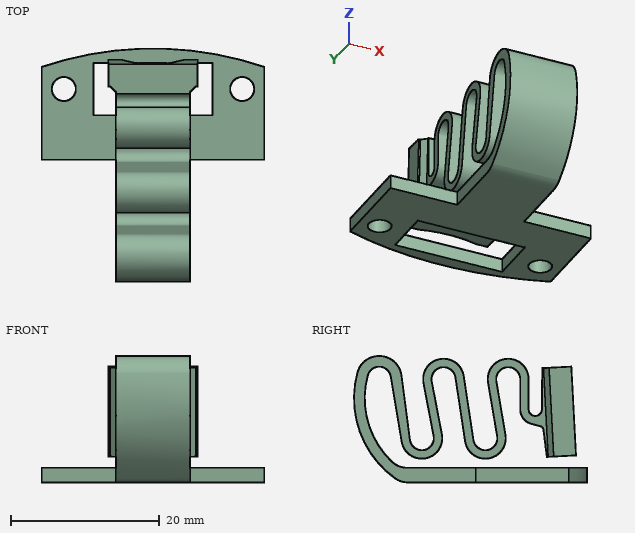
import cadquery as cq
import math

plate_width = 30.0
plate_thickness = 2.0
plate_back = 15.0
plate_corner = 12.52
hole_diameter = 3.2
hole_spacing = 24.03
hole_y = 9.53
window_width = 16.0
window_front = 6.0
window_back = 13.02

strip_width = 10.0
wave_inner = 1.6
wave_outer = 2.77
crest_z = 13.93
trough_z = 5.98
wave_ys = (4.35, 1.25, -4.37, -7.3)

overall_height = 17.08
front_y = -16.45
last_inner = 1.57
last_outer = 3.05
sweep_inner = 11.8
sweep_outer = sweep_inner + last_outer - last_inner
sweep_drop = 2.67
base_bend_radius = 3.0

neck_inner = 0.88
neck_outer = neck_inner + wave_outer - wave_inner
neck_z = 9.88
neck_slope = math.radians(15)
neck_fillet = 0.5

pad_tilt = math.radians(3)
pad_width = 12.0
pad_height = 12.0
pad_depth = 3.02
pad_back_y = 13.5
pad_bottom_z = 3.65
taper_depth = 0.75
taper_step = 0.25
backing_thickness = 0.2
backing_root_y = 9.03
seat_radius = 15.0


def polar(center, radius, angle):
    return (center[0] + radius * math.cos(angle), center[1] + radius * math.sin(angle))


def direction(start, end):
    return math.atan2(end[1] - start[1], end[0] - start[0])


def pad_point(forward, up):
    """Y, Z of a point given along the tilted depth and height of the pad."""
    sine, cosine = math.sin(pad_tilt), math.cos(pad_tilt)
    return (pad_back_y - forward * cosine - up * sine,
            pad_bottom_z - forward * sine + up * cosine)


def line(start, end):
    return cq.Edge.makeLine(cq.Vector(0, *start), cq.Vector(0, *end))


def arc(center, radius, start, end, turn):
    """Arc in the YZ plane; turn is 1 for counterclockwise and -1 for clockwise."""
    sweep = (turn * (end - start)) % (2 * math.pi)
    angles = (start, start + turn * sweep / 2, end)
    points = [cq.Vector(0, *polar(center, radius, angle)) for angle in angles]
    return cq.Edge.makeThreePointArc(*points)


wave_centers = [(y, trough_z if i % 2 else crest_z) for i, y in enumerate(wave_ys)]
sweep_center_y = front_y + sweep_outer
last_z = overall_height - last_outer
last_offset = math.sqrt((sweep_outer - last_outer) ** 2 - sweep_drop ** 2)
last_center = (sweep_center_y - last_offset, last_z)
sweep_center = (sweep_center_y, last_z - sweep_drop)
bend_centers = wave_centers + [last_center]


def strip_face(crest_radius, trough_radius, last_radius, sweep_radius, base_z):
    """Edges of one strip face from the first crest down to the base at height base_z."""
    radii = [trough_radius if i % 2 else crest_radius for i in range(len(wave_ys))] + [last_radius]
    edges = []
    entry = 0
    for i in range(len(wave_ys)):
        turn = -1 if i % 2 else 1
        center, following = bend_centers[i], bend_centers[i + 1]
        reach = -turn * (radii[i] + radii[i + 1])
        normal = direction(center, following) + math.acos(reach / math.dist(center, following))
        leave = normal + math.pi if turn == 1 else normal
        edges.append(arc(center, radii[i], entry, leave, turn))
        entry = leave + math.pi
        leg_start = polar(center, radii[i], leave)
        edges.append(line(leg_start, polar(following, radii[i + 1], entry)))
    sweep_start = direction(sweep_center, last_center)
    edges.append(arc(last_center, last_radius, entry, sweep_start, 1))
    bend_z = base_z + base_bend_radius
    bend_offset = math.sqrt((sweep_radius - base_bend_radius) ** 2 - (sweep_center[1] - bend_z) ** 2)
    bend_center = (sweep_center_y - bend_offset, bend_z)
    sweep_end = direction(sweep_center, bend_center)
    edges.append(arc(sweep_center, sweep_radius, sweep_start, sweep_end, 1))
    edges.append(arc(bend_center, base_bend_radius, sweep_end, -math.pi / 2, 1))
    edges.append(line((bend_center[0], base_z), (0, base_z)))
    return edges


def make_plate():
    half = plate_width / 2
    plate = (
        cq.Workplane("XY")
        .moveTo(-half, 0)
        .lineTo(half, 0)
        .lineTo(half, plate_corner)
        .threePointArc((0, plate_back), (-half, plate_corner))
        .close()
        .extrude(plate_thickness)
    )
    window_length = window_back - window_front
    window = (
        cq.Workplane("XY")
        .center(0, window_front + window_length / 2)
        .rect(window_width, window_length)
        .extrude(plate_thickness)
    )
    holes = (
        cq.Workplane("XY")
        .pushPoints([(-hole_spacing / 2, hole_y), (hole_spacing / 2, hole_y)])
        .circle(hole_diameter / 2)
        .extrude(plate_thickness)
    )
    return plate.cut(window).cut(holes)


def neck_edges():
    """Edges of the neck and pad backing, from the first crest's outer face to its inner face."""
    outer_leg_y = wave_ys[0] + wave_outer
    inner_leg_y = wave_ys[0] + wave_inner
    center = (outer_leg_y + neck_inner, neck_z)
    back = pad_depth + taper_depth
    front = back + backing_thickness
    slope_angle = -math.pi / 2 - neck_slope
    throat_end = (center[0] + neck_inner, neck_z)
    slope_start = polar(center, neck_outer, slope_angle)
    corner_z = slope_start[1] - (backing_root_y - slope_start[0]) * math.tan(neck_slope)
    corners = [
        throat_end,
        pad_point(front, pad_height),
        pad_point(back, pad_height),
        pad_point(back, 0),
        pad_point(front, 0),
        (backing_root_y, corner_z),
        slope_start,
    ]
    edges = [line((outer_leg_y, crest_z), (outer_leg_y, neck_z))]
    edges.append(arc(center, neck_inner, math.pi, 0, 1))
    edges += [line(start, end) for start, end in zip(corners, corners[1:])]
    edges.append(arc(center, neck_outer, slope_angle, math.pi, -1))
    edges.append(line((inner_leg_y, neck_z), (inner_leg_y, crest_z)))
    return edges, (backing_root_y, corner_z)


def make_strip():
    outer = strip_face(wave_outer, wave_inner, last_outer, sweep_outer, 0)
    inner = strip_face(wave_inner, wave_outer, last_inner, sweep_inner, plate_thickness)
    neck, root = neck_edges()
    base_end = line((0, 0), (0, plate_thickness))
    outline = cq.Wire.assembleEdges(outer + [base_end] + inner[::-1] + neck[::-1])
    strip = cq.Workplane("YZ").add(outline).toPending().extrude(strip_width / 2, both=True)
    return strip.edges(cq.NearestToPointSelector((0, *root))).fillet(neck_fillet)


def make_pad():
    """Pad block with a tapered front and an upright cylindrical hollow in its back."""
    half = pad_width / 2
    taper_end = pad_depth + taper_depth
    shelf = half - taper_step
    strip_edge = strip_width / 2
    outline = [
        (-half, 0),
        (half, 0),
        (half, pad_depth),
        (shelf, pad_depth),
        (strip_edge, taper_end),
        (-strip_edge, taper_end),
        (-shelf, pad_depth),
        (-half, pad_depth),
    ]
    pad = (
        cq.Workplane("XY")
        .polyline([(x, -forward) for x, forward in outline])
        .close()
        .extrude(pad_height)
        .rotate((0, 0, 0), (1, 0, 0), math.degrees(pad_tilt))
        .translate((0, pad_back_y, pad_bottom_z))
    )
    top_y, top_z = pad_point(0, pad_height)
    hollow = cq.Workplane("XY").center(0, top_y + seat_radius).circle(seat_radius).extrude(top_z)
    return pad.cut(hollow)


result = make_plate().union(make_strip()).union(make_pad())